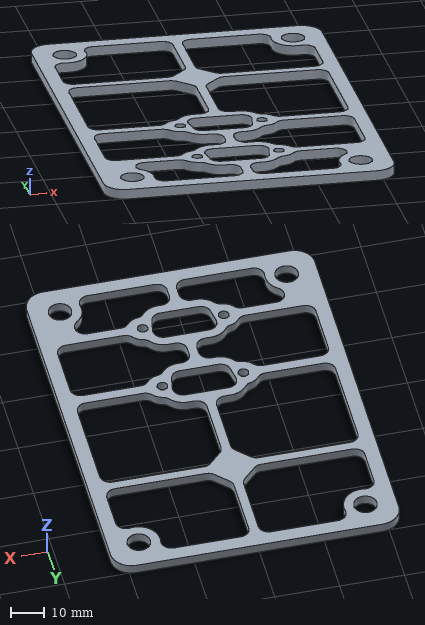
import cadquery as cq
import math

width = 88.9
length = 120.6
thickness = 3.1
corner_radius = 6.4
frame_width = 4.7

inner_width = width - 2 * frame_width
inner_length = length - 2 * frame_width
rib_width = 3.0
connector_rib_width = 3.4
window_radius = 3.1

cross_rib_y = 25.3
diamond_half_diagonal = 8.7
diamond_side = math.sqrt(2) * diamond_half_diagonal

mount_inset = 9.5
mount_diameter = 7.0
mount_boss_radius = 6.6
mount_x = width / 2 - mount_inset
mount_y = length / 2 - mount_inset
mount_points = [(sx * mount_x, sy * mount_y) for sx in (-1, 1) for sy in (-1, 1)]
inner_corners = [(sx * inner_width / 2, sy * inner_length / 2) for sx in (-1, 1) for sy in (-1, 1)]
boss_pad = 4.8

connector_ys = (-12.7, -38.1)
connector_wall = 3.3
opening_top_width = 20.8
opening_height = 10.4
opening_side_angle = 10.0
opening_radius = 3.1
screw_spacing = 25.0
screw_diameter = 3.1
opening_bottom_width = opening_top_width - 2 * opening_height * math.tan(math.radians(opening_side_angle))
screw_points = [(sx * screw_spacing / 2, y) for sx in (-1, 1) for y in connector_ys]


def bar(size_x, size_y, y=0.0):
    """Full-thickness rectangular bar centred at height y on the plate's centre line."""
    return cq.Workplane().center(0, y).rect(size_x, size_y).extrude(thickness)


def discs(points, diameter):
    """Full-thickness discs at the given points."""
    return cq.Workplane().pushPoints(points).circle(diameter / 2).extrude(thickness)


def connector_opening(y):
    """Rounded D-shaped block filling one connector opening, wide side towards +Y."""
    half_top = opening_top_width / 2
    half_bottom = opening_bottom_width / 2
    top = y + opening_height / 2
    bottom = y - opening_height / 2
    corners = [(-half_top, top), (half_top, top), (half_bottom, bottom), (-half_bottom, bottom)]
    return cq.Workplane().polyline(corners).close().extrude(thickness).edges("|Z").fillet(opening_radius)


def connector_surround(y):
    """Connector opening grown outwards by the wall width."""
    outline = connector_opening(y).faces("<Z").wires().toPending()
    return outline.offset2D(connector_wall).extrude(thickness)


def lattice():
    """Ribs, pads and bosses that divide the inside of the frame."""
    web = bar(rib_width, inner_length)
    web = web.union(bar(inner_width, rib_width, cross_rib_y))
    diamond = bar(diamond_side, diamond_side)
    web = web.union(diamond.rotate((0, 0, 0), (0, 0, 1), 45).translate((0, cross_rib_y, 0)))
    for y in connector_ys:
        web = web.union(bar(inner_width, connector_rib_width, y))
        web = web.union(connector_surround(y))
    web = web.union(discs(screw_points, screw_diameter + 2 * connector_wall))
    web = web.union(discs(mount_points, 2 * mount_boss_radius))
    return web.union(cq.Workplane().pushPoints(inner_corners).rect(boss_pad, boss_pad).extrude(thickness))


def round_corners(block):
    """Shrink and regrow a window's outline, rounding its corners and dropping its narrow ends."""
    outline = block.faces("<Z").wires().val()
    core = outline.offset2D(-window_radius)[0]
    rounded = core.offset2D(window_radius)[0]
    return cq.Workplane().add(rounded).toPending().extrude(thickness)


plate = bar(width, length).edges("|Z").fillet(corner_radius)

windows = bar(inner_width, inner_length).cut(lattice())
for window in windows.solids().all():
    plate = plate.cut(round_corners(window))

for y in connector_ys:
    plate = plate.cut(connector_opening(y))

plate = plate.cut(discs(screw_points, screw_diameter))
result = plate.cut(discs(mount_points, mount_diameter))